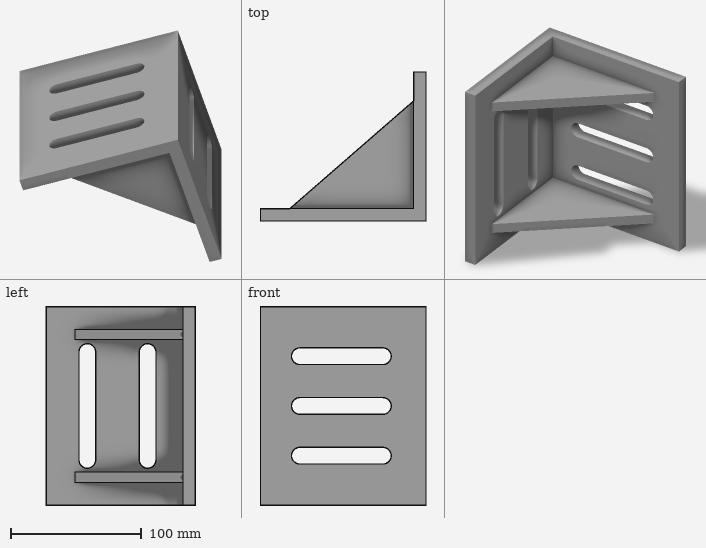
import cadquery as cq

width = 127.0
depth = 114.3
height = 152.4
wall = 9.6

slot_width = 12.6
front_slot_length = 76.2
front_slot_pitch = 38.1
front_slot_center_x = 62.0
side_slot_length = 95.2
side_slot_centers_y = (36.5, 82.8)

gusset_thickness = 8.0
gusset_inset = 17.5
gusset_run_x = 94.8
gusset_run_y = 82.5

inner_x = width - wall
inner_y = wall
mid_z = height / 2


def make_angle():
    """Front plate along X and side plate along Y, joined at the +X, -Y corner."""
    front_plate = cq.Workplane("XY").box(width, wall, height, centered=False)
    side_plate = cq.Workplane("XY").box(wall, depth, height, centered=False).translate((inner_x, 0, 0))
    return front_plate.union(side_plate)


def make_gusset(bottom_z):
    """Triangular web filling the inside corner, starting at bottom_z."""
    return (
        cq.Workplane("XY", origin=(0, 0, bottom_z))
        .moveTo(inner_x - gusset_run_x, inner_y)
        .lineTo(inner_x, inner_y + gusset_run_y)
        .lineTo(width, inner_y + gusset_run_y)
        .lineTo(width, 0)
        .lineTo(inner_x - gusset_run_x, 0)
        .close()
        .extrude(gusset_thickness)
    )


def make_front_slots():
    """Three horizontal slots through the front plate."""
    return (
        cq.Workplane("XZ", origin=(front_slot_center_x, 0, mid_z))
        .rarray(1.5, front_slot_pitch, 1, 3)
        .slot2D(front_slot_length, slot_width)
        .extrude(-wall)
    )


def make_side_slot(center_y):
    """Vertical slot through the side plate."""
    return (
        cq.Workplane("YZ", origin=(inner_x, center_y, mid_z))
        .slot2D(side_slot_length, slot_width, 90)
        .extrude(wall)
    )


result = make_angle()
for bottom_z in (gusset_inset, height - gusset_inset - gusset_thickness):
    result = result.union(make_gusset(bottom_z))
result = result.cut(make_front_slots())
for center_y in side_slot_centers_y:
    result = result.cut(make_side_slot(center_y))